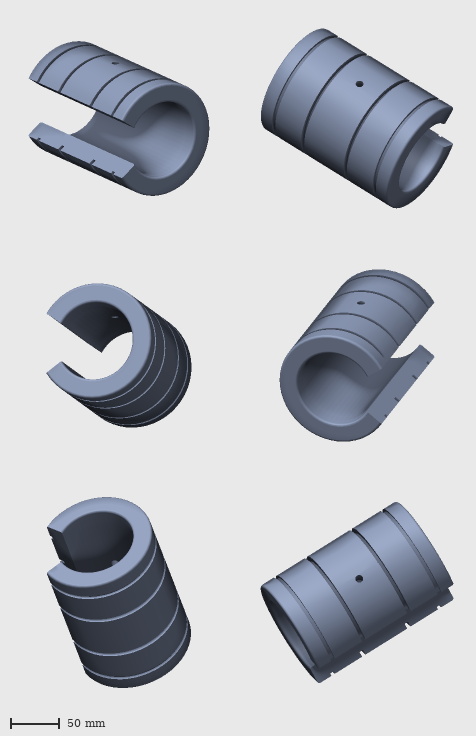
import cadquery as cq
import math

length = 165.0
outer_radius = 60.0
bore_radius = 40.0
edge_fillet = 2.5

groove_width = 4.15
end_groove_span = 133.7
end_groove_radius = 57.0
inner_groove_span = 59.0
inner_groove_radius = 54.0

opening_half_angle = 36.0
opening_outer_y = -51.18

hole_diameter = 8.0


def tube(outer, inner, width, start_x):
    """Ring of the given radii, running from start_x towards +X."""
    return (
        cq.Workplane("YZ", origin=(start_x, 0, 0))
        .circle(outer)
        .circle(inner)
        .extrude(width)
    )


def sleeve():
    """Plain tube with all four rims rounded."""
    body = tube(outer_radius, bore_radius, length, -length / 2)
    return body.faces("<X or >X").edges().fillet(edge_fillet)


def groove_pair(span, floor_radius):
    """Two rings whose outer walls are `span` apart."""
    left_start = -span / 2
    right_start = span / 2 - groove_width
    cutter_radius = outer_radius + edge_fillet
    left = tube(cutter_radius, floor_radius, groove_width, left_start)
    right = tube(cutter_radius, floor_radius, groove_width, right_start)
    return left.union(right)


def opening():
    """Wedge widening towards -Y, whose walls cross the outer surface at opening_outer_y."""
    slope = math.tan(math.radians(opening_half_angle))
    outer_half_height = math.sqrt(outer_radius**2 - opening_outer_y**2)
    apex_y = opening_outer_y + outer_half_height / slope
    mouth_y = -2 * outer_radius
    mouth_half_height = (apex_y - mouth_y) * slope
    return (
        cq.Workplane("YZ", origin=(-length / 2, 0, 0))
        .moveTo(apex_y, 0)
        .lineTo(mouth_y, mouth_half_height)
        .lineTo(mouth_y, -mouth_half_height)
        .close()
        .extrude(length)
    )


def top_hole():
    """Vertical hole from the axis up through the top of the wall."""
    return cq.Workplane("XY").circle(hole_diameter / 2).extrude(outer_radius + edge_fillet)


result = (
    sleeve()
    .cut(groove_pair(end_groove_span, end_groove_radius))
    .cut(groove_pair(inner_groove_span, inner_groove_radius))
    .cut(opening())
    .cut(top_hole())
)